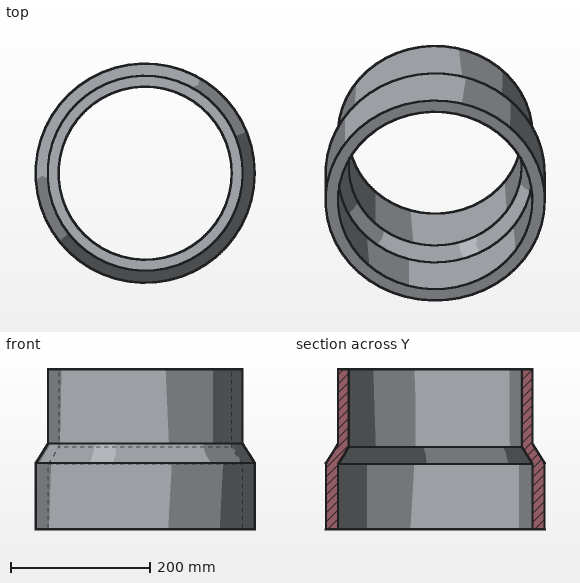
import cadquery as cq

total_height = 230.0
large_outer_diameter = 315.0
small_outer_diameter = 280.0
large_wall = 17.9
small_wall = 15.9

outer_taper_bottom = 95.0
outer_taper_top = 123.0
bore_taper_bottom = 93.5
bore_taper_top = 118.5

large_outer_radius = large_outer_diameter / 2
small_outer_radius = small_outer_diameter / 2
large_bore_radius = large_outer_radius - large_wall
small_bore_radius = small_outer_radius - small_wall


def tapered_cylinder(large_radius, small_radius, taper_bottom, taper_top):
    """Solid of revolution: large cylinder, taper, then small cylinder."""
    return (
        cq.Workplane("XZ")
        .moveTo(0, 0)
        .lineTo(large_radius, 0)
        .lineTo(large_radius, taper_bottom)
        .lineTo(small_radius, taper_top)
        .lineTo(small_radius, total_height)
        .lineTo(0, total_height)
        .close()
        .revolve(360, (0, 0, 0), (0, 1, 0))
    )


body = tapered_cylinder(large_outer_radius, small_outer_radius, outer_taper_bottom, outer_taper_top)
bore = tapered_cylinder(large_bore_radius, small_bore_radius, bore_taper_bottom, bore_taper_top)

result = body.cut(bore)